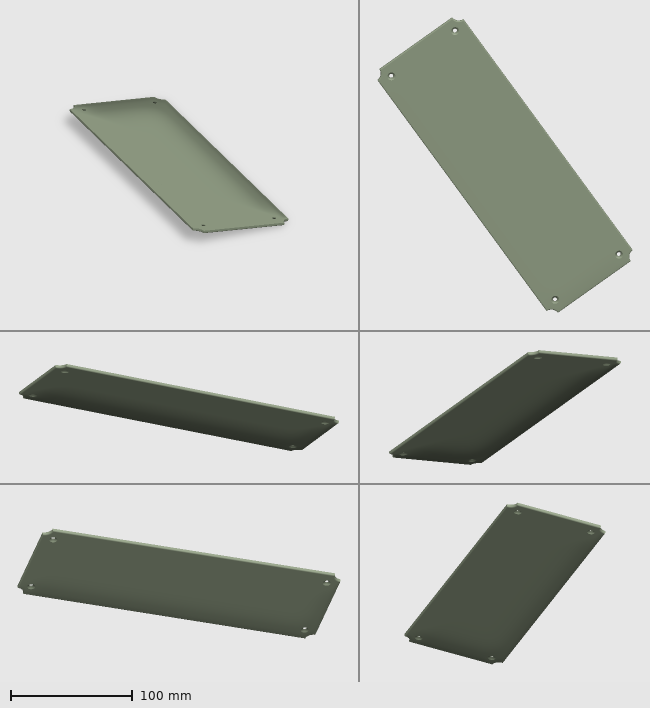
import cadquery as cq
import math

length = 255.2
depth_span = 86.5
thickness = 2.5
tilt_angle = 6.0
corner_radius = 6.6
hole_inset_x = 10.5
hole_inset_y = 11.2
hole_diameter = 3.3
countersink_diameter = 6.6
countersink_angle = 90.0
edge_radius = 1.0

tilt = math.radians(tilt_angle)
rounding_loss = edge_radius * (math.sin(tilt) + math.cos(tilt) - 1)
width = (depth_span - thickness * math.sin(tilt) + rounding_loss) / math.cos(tilt)


def corner_points(inset_x, inset_y):
    """Four symmetric points, inset from the plate corners."""
    x = length / 2 - inset_x
    y = width / 2 - inset_y
    return [(sx * x, sy * y) for sx in (-1, 1) for sy in (-1, 1)]


def notched_plate():
    """Flat plate with scooped corners and a rounded underside rim."""
    plate = cq.Workplane("XY").box(length, width, thickness)
    scoops = (
        cq.Workplane("XY")
        .pushPoints(corner_points(0, 0))
        .circle(corner_radius)
        .extrude(thickness, both=True)
    )
    return plate.cut(scoops).faces("<Z").edges().fillet(edge_radius)


def add_screw_holes(plate):
    """Through holes countersunk from the underside."""
    return (
        plate.faces("<Z")
        .workplane(centerOption="CenterOfBoundBox")
        .pushPoints(corner_points(hole_inset_x, hole_inset_y))
        .cskHole(hole_diameter, countersink_diameter, countersink_angle)
    )


result = add_screw_holes(notched_plate()).rotate((0, 0, 0), (1, 0, 0), -tilt_angle)